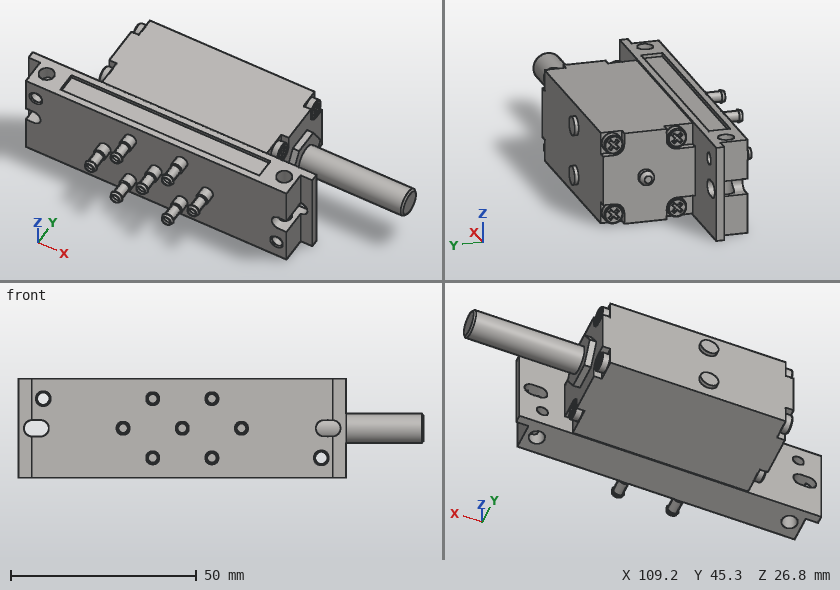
import cadquery as cq


overall_length = 109.2
plate_length = 88.4
plate_height = 26.8
plate_depth = 9.9
plate_middle = plate_length / 2
flange_depth = 2.3
flange_reach = 3.6

cross_hole_diameter = 4.4
cross_hole_spacing = 74.0
slot_width = 4.4
slot_length = 6.7
slot_spacing = 78.7
thread_hole_diameter = 3.3
thread_mouth_diameter = 4.0
thread_hole_offset_x = 37.5
recess_length = 61.9
recess_width = 6.0
recess_depth = 1.0

fitting_pitch = 8.0
fitting_length = 8.3
fitting_base_length = 3.0
fitting_shoulder_length = 0.3
barb_length = 1.0
fitting_base_diameter = 3.6
tube_diameter = 3.0
bore_diameter = 2.5

body_start = 19.1
body_length = 55.9
body_side = 26.0
body_end = body_start + body_length
boss_diameter = 5.2
boss_height = 1.1
boss_offset = 7.1

pocket_width = 6.0
pocket_depth = 2.3
head_diameter = 5.4
head_chamfer = 0.3
screw_spacing_y = 17.9
cross_recess_length = 3.3
cross_recess_width = 0.9
cross_recess_depth = 0.5

shaft_y = 14.1
button_diameter = 4.2
button_tip_diameter = 2.1
button_length = 2.6
button_cone_length = 1.2
nut_corner_diameter = 15.3
nut_thickness = 2.0
rod_diameter = 8.0
rod_chamfer = 0.5


def along_x(x):
    """Sketch plane at x facing +X; its local axes are global Y and Z."""
    return cq.Workplane("YZ", origin=(x, 0, 0))


def along_minus_y(y):
    """Sketch plane at y facing -Y; its local axes are global X and Z."""
    return cq.Workplane("XZ", origin=(0, y, 0))


def make_plate():
    block_end = plate_length - flange_reach
    outline = [
        (0, 0),
        (plate_length, 0),
        (plate_length, -flange_depth),
        (block_end, -flange_depth),
        (block_end, -plate_depth),
        (flange_reach, -plate_depth),
        (flange_reach, -flange_depth),
        (0, -flange_depth),
    ]
    plate = cq.Workplane("XY").polyline(outline).close().extrude(plate_height / 2, both=True)

    centre = plate.faces(">Z").workplane(origin=(plate_middle, -plate_depth / 2, 0))
    plate = centre.rect(recess_length, recess_width).cutBlind(-recess_depth)

    half_spacing = cross_hole_spacing / 2
    cross_holes = (
        cq.Workplane("XY", origin=(plate_middle, -plate_depth / 2, 0))
        .pushPoints([(-half_spacing, 0), (half_spacing, 0)])
        .circle(cross_hole_diameter / 2)
        .extrude(plate_height, both=True)
    )
    mounting_slots = (
        along_minus_y(0)
        .pushPoints([(plate_middle - slot_spacing / 2, 0), (plate_middle + slot_spacing / 2, 0)])
        .slot2D(slot_length, slot_width)
        .extrude(plate_depth)
    )
    plate = plate.cut(cross_holes).cut(mounting_slots)
    for side in (-1, 1):
        place = (plate_middle + side * thread_hole_offset_x, -plate_depth, -side * fitting_pitch)
        plate = plate.cut(make_thread_hole().translate(place))
    return plate


def make_thread_hole():
    """Countersunk through hole with its mouth at the origin, running toward +Y."""
    radius = thread_hole_diameter / 2
    mouth_radius = thread_mouth_diameter / 2
    profile = [
        (0, 0),
        (mouth_radius, 0),
        (radius, mouth_radius - radius),
        (radius, plate_depth),
        (0, plate_depth),
    ]
    return cq.Workplane("XY").polyline(profile).close().revolve(360, (0, 0, 0), (0, 1, 0))


def make_fitting():
    """Barbed tube with its root at the origin, pointing toward -Y."""
    base_radius = fitting_base_diameter / 2
    tube_radius = tube_diameter / 2
    bore_radius = bore_diameter / 2
    barb_start = fitting_length - barb_length
    profile = [
        (bore_radius, 0),
        (base_radius, 0),
        (base_radius, -fitting_base_length),
        (tube_radius, -fitting_base_length - fitting_shoulder_length),
        (tube_radius, -barb_start),
        (base_radius, -barb_start),
        (tube_radius, -fitting_length),
        (bore_radius, -fitting_length),
    ]
    return cq.Workplane("XY").polyline(profile).close().revolve(360, (0, 0, 0), (0, 1, 0))


def add_fittings(part):
    """Rows of two, three and two fittings, the outer rows staggered by half a step."""
    for row, column_steps in ((-1, (-1, 1)), (0, (-2, 0, 2)), (1, (-1, 1))):
        for step in column_steps:
            x = plate_middle + step * fitting_pitch
            part = part.union(make_fitting().translate((x, -plate_depth, row * fitting_pitch)))
    return part


def make_screw_pocket(length_y):
    """Corner pocket sunk toward +X, open on its +Y and +Z sides, rounded around the screw.

    The screw axis is the origin and length_y is the reach from it to the open +Y side.
    """
    radius = pocket_width / 2
    return (
        along_x(0)
        .moveTo(0, -radius)
        .lineTo(length_y, -radius)
        .lineTo(length_y, radius)
        .lineTo(-radius, radius)
        .lineTo(-radius, 0)
        .radiusArc((0, -radius), -radius)
        .close()
        .extrude(pocket_depth)
    )


def make_screw_head():
    """Cross-recessed head on the X axis, its outer face at x = 0 looking toward -X."""
    head = along_x(0).circle(head_diameter / 2).extrude(pocket_depth).faces("<X").chamfer(head_chamfer)
    for angle in (45, -45):
        arm = along_x(0).rect(cross_recess_length, cross_recess_width).extrude(cross_recess_depth)
        head = head.cut(arm.rotate((0, 0, 0), (1, 0, 0), angle))
    return head


def mirror_to_corner(shape, other_end, lower_half):
    """Copy of a shape from the upper corner of the -X end, moved to the corner that is asked for."""
    if other_end:
        shape = shape.mirror("YZ", (body_start + body_length / 2, 0, 0))
    if lower_half:
        shape = shape.mirror("XY")
    return shape


def add_screw_group(body, pocket, head):
    """Cut the pocket and add the head at both ends, in the upper and the lower half."""
    for other_end in (False, True):
        for lower_half in (False, True):
            body = body.cut(mirror_to_corner(pocket, other_end, lower_half))
            body = body.union(mirror_to_corner(head, other_end, lower_half))
    return body


def add_screws(body):
    """Four screws in pockets on each end of the body."""
    radius = pocket_width / 2
    screw_z = body_side / 2 - radius
    outer_y = body_side - radius
    inner_y = outer_y - screw_spacing_y
    outer_pocket = make_screw_pocket(radius)
    inner_pocket = make_screw_pocket(inner_y).mirror("XZ")
    for y, pocket in ((outer_y, outer_pocket), (inner_y, inner_pocket)):
        place = (body_start, y, screw_z)
        body = add_screw_group(body, pocket.translate(place), make_screw_head().translate(place))
    return body


def make_body():
    body = cq.Workplane("XY").box(body_length, body_side, body_side, centered=(False, False, True))
    body = body.translate((body_start, 0, 0))
    bosses = (
        along_minus_y(body_side + boss_height)
        .pushPoints([(plate_middle, -boss_offset), (plate_middle, boss_offset)])
        .circle(boss_diameter / 2)
        .extrude(boss_height)
    )
    return body.union(bosses)


def make_button():
    """Button with a tapered tip on the -X end of the body."""
    taper = (button_diameter - button_tip_diameter) / 2
    return (
        along_x(body_start - button_length)
        .center(shaft_y, 0)
        .circle(button_diameter / 2)
        .extrude(button_length)
        .faces("<X")
        .chamfer(button_cone_length, taper)
    )


def make_rod():
    """Hexagonal nut with two corners along Y, and the round rod through it."""
    nut = along_x(body_end).center(shaft_y, 0).polygon(6, nut_corner_diameter).extrude(nut_thickness)
    rod = along_x(body_end).center(shaft_y, 0).circle(rod_diameter / 2).extrude(overall_length - body_end)
    return nut.union(rod.faces(">X").chamfer(rod_chamfer))


result = add_fittings(make_plate())
result = result.union(add_screws(make_body())).union(make_button()).union(make_rod())